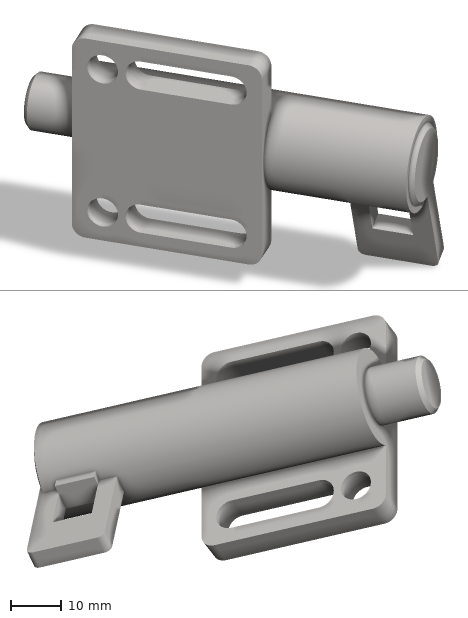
import cadquery as cq

total_length = 83.0
bolt_reach = 12.0
cap_thickness = 1.0
barrel_end = total_length - cap_thickness
barrel_length = barrel_end - bolt_reach
barrel_radius = 10.0

plate_width = 40.0
plate_height = 46.0
plate_thickness = 6.0
plate_corner_radius = 2.8
plate_face_offset = 11.0
hole_diameter = 6.5
hole_margin = 3.2
hole_slot_gap = 1.6

bolt_radius = 6.0
tip_chamfer = 0.9
cap_radius = 8.5
cap_chamfer = 0.9

lever_width = 16.9
lever_thickness = 4.0
lever_reach = 29.05
lever_tilt = 20.0
lever_corner_radius = 1.5
window_width = 8.55
window_end_margin = 4.5
window_near = 11.0
window_far = 20.3
tongue_thickness = lever_thickness / 2


def x_cylinder(start, length, radius):
    """Solid cylinder along the bolt axis."""
    return cq.Workplane("YZ", origin=(start, 0, 0)).circle(radius).extrude(length)


def radial_block(start, width, thickness, near, far, y_center=0):
    """Block hanging down from the bolt axis, before it is tilted."""
    return (
        cq.Workplane("XY")
        .box(width, thickness, far - near)
        .translate((start + width / 2, y_center, -(near + far) / 2))
    )


def tilt(body):
    """Swing a hanging block around the bolt axis to the lever angle."""
    return body.rotate((0, 0, 0), (1, 0, 0), lever_tilt)


def make_lever_blank():
    """Lever without its window, reaching in to the bolt axis."""
    lever = radial_block(total_length - lever_width, lever_width, lever_thickness, 0, lever_reach)
    return tilt(lever.edges("|Y and <Z").fillet(lever_corner_radius))


def make_plate():
    """Rounded plate with a round hole and a long slot along each edge."""
    inner_face = plate_thickness - plate_face_offset
    plate_center = bolt_reach + plate_width / 2
    plate = (
        cq.Workplane("XZ", origin=(plate_center, inner_face, 0))
        .rect(plate_width, plate_height)
        .extrude(plate_thickness)
        .edges("|Y")
        .fillet(plate_corner_radius)
    )
    hole_x = -plate_width / 2 + hole_margin + hole_diameter / 2
    slot_start = hole_x + hole_diameter / 2 + hole_slot_gap
    slot_end = plate_width / 2 - hole_margin
    slot_x = (slot_start + slot_end) / 2
    hole_z = plate_height / 2 - hole_margin - hole_diameter / 2
    sketch_plane = cq.Workplane("XZ", origin=(plate_center, inner_face, 0))
    holes = (
        sketch_plane.pushPoints([(hole_x, hole_z), (hole_x, -hole_z)])
        .circle(hole_diameter / 2)
        .extrude(plate_thickness)
    )
    slots = (
        sketch_plane.pushPoints([(slot_x, hole_z), (slot_x, -hole_z)])
        .slot2D(slot_end - slot_start, hole_diameter)
        .extrude(plate_thickness)
    )
    return plate.cut(holes).cut(slots)


def make_housing():
    """Barrel and plate, bored for the bolt and slotted for the lever."""
    bore = x_cylinder(bolt_reach, barrel_length, bolt_radius)
    barrel = x_cylinder(bolt_reach, barrel_length, barrel_radius)
    return barrel.union(make_plate()).cut(bore).cut(make_lever_blank())


def make_lever():
    """Lever with a rectangular window and a tongue behind its upper edge."""
    window_start = total_length - window_end_margin - window_width
    window = radial_block(window_start, window_width, lever_thickness, window_near, window_far)
    tongue = radial_block(
        window_start,
        window_width,
        tongue_thickness,
        0,
        window_near,
        (lever_thickness + tongue_thickness) / 2,
    )
    seated_tongue = tilt(tongue).cut(x_cylinder(bolt_reach, barrel_length, barrel_radius))
    return make_lever_blank().cut(tilt(window)).union(seated_tongue)


def make_bolt():
    """Round bolt with a chamfered tip, an end cap and the lever."""
    rod = x_cylinder(0, barrel_end, bolt_radius).faces("<X").chamfer(tip_chamfer)
    cap = x_cylinder(barrel_end, cap_thickness, cap_radius).faces(">X").chamfer(cap_chamfer)
    return rod.union(cap).union(make_lever())


housing = make_housing()
bolt = make_bolt()
result = cq.Compound.makeCompound([housing.val(), bolt.val()])